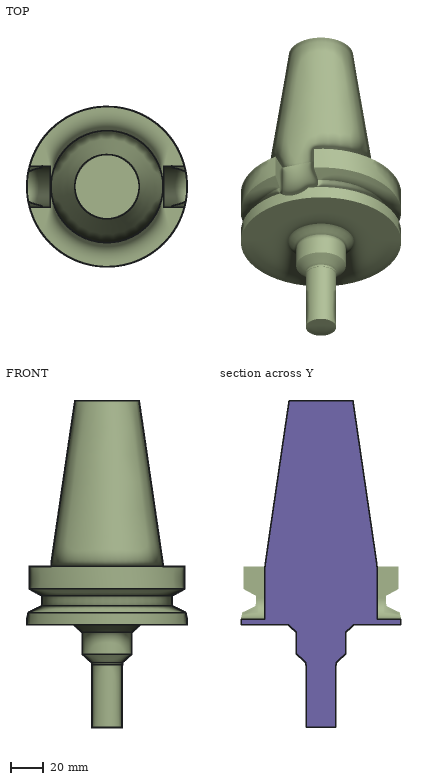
import cadquery as cq

total_height = 203.8
gauge_height = 102.1
flange_top = 100.5
flange_bottom = 64.0
upper_rim_bottom = 86.5
groove_top = 82.1
groove_bottom = 75.8
lower_rim_top = 71.7
nose_top = 59.3
nose_bottom = 45.9
nose_cone_bottom = 40.5
shank_top = 39.1

taper_small_diameter = 40.1
taper_large_diameter = 70.0
flange_diameter = 100.0
groove_diameter = 85.0
nose_diameter = 31.0
shank_diameter = 19.0
nose_tip_diameter = 19.4
nose_root_diameter = 41.2

slot_width = 25.5
slot_bottom = 67.7
slot_floor_distance = 35.3


def revolved_body():
    """Taper, grooved flange, nose and shank turned about the Z axis."""
    profile = [
        (shank_diameter, 0),
        (shank_diameter, shank_top),
        (nose_tip_diameter, shank_top),
        (nose_tip_diameter, nose_cone_bottom),
        (nose_diameter, nose_bottom),
        (nose_diameter, nose_top),
        (nose_root_diameter, flange_bottom),
        (flange_diameter, flange_bottom),
        (flange_diameter, lower_rim_top),
        (groove_diameter, groove_bottom),
        (groove_diameter, groove_top),
        (flange_diameter, upper_rim_bottom),
        (flange_diameter, flange_top),
        (taper_large_diameter, flange_top),
        (taper_large_diameter, gauge_height),
        (taper_small_diameter, total_height),
    ]
    outline = [(diameter / 2, height) for diameter, height in profile]
    axis_points = [(0, total_height), (0, 0)]
    return cq.Workplane("XZ").polyline(outline + axis_points).close().revolve()


def drive_slot(side):
    """Round-bottomed slot cutter, open at the top; side is -1 or +1 along X."""
    half_width = slot_width / 2
    arc_height = slot_bottom + half_width
    depth = flange_diameter / 2 - slot_floor_distance
    return (
        cq.Workplane("YZ", origin=(side * slot_floor_distance, 0, 0))
        .moveTo(-half_width, flange_top)
        .lineTo(-half_width, arc_height)
        .threePointArc((0, slot_bottom), (half_width, arc_height))
        .lineTo(half_width, flange_top)
        .close()
        .extrude(side * depth)
    )


result = revolved_body()
for side in (-1, 1):
    result = result.cut(drive_slot(side))